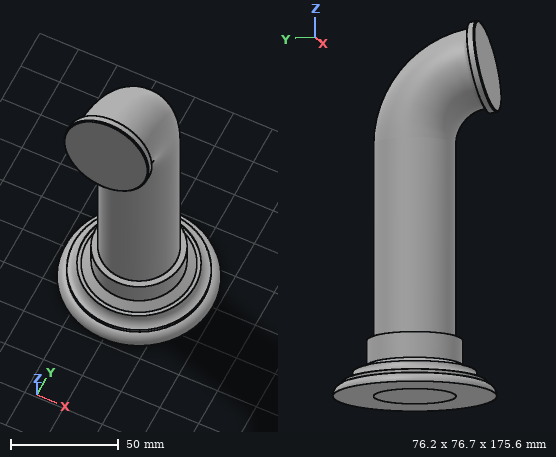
import cadquery as cq
import math

base_radius = 38.1
step_radius = 33.5
ledge_radius = 28.8
cone_radius = 26.9
collar_radius = 22.3
base_edge_height = 0.5
step_bottom = 5.0
step_top = 6.7
ledge_height = 11.4
collar_bottom = 14.2
collar_top = 26.3

tube_radius = 19.1
bend_start = 118.7
bend_radius = 35.0
bend_angle = 80
rim_radius = 21.8
flare_length = 2.5
rim_length = 6.1
rim_chamfer = 0.5


def arc_middle(center, start_angle, end_angle, radius_x, radius_z):
    """Point halfway along an axis-aligned quarter curve."""
    angle = math.radians((start_angle + end_angle) / 2)
    return (center[0] + radius_x * math.cos(angle), center[1] + radius_z * math.sin(angle))


def make_base():
    """Flange turned about Z: rounded foot, cove, cone and collar, bored for the tube."""
    foot_middle = arc_middle(
        (step_radius, base_edge_height), 0, 90, base_radius - step_radius, step_bottom - base_edge_height
    )
    cove_middle = arc_middle(
        (step_radius, ledge_height), 180, 270, step_radius - ledge_radius, ledge_height - step_top
    )
    profile = (
        cq.Workplane("XZ")
        .moveTo(tube_radius, 0)
        .lineTo(base_radius, 0)
        .lineTo(base_radius, base_edge_height)
        .threePointArc(foot_middle, (step_radius, step_bottom))
        .lineTo(step_radius, step_top)
        .threePointArc(cove_middle, (ledge_radius, ledge_height))
        .lineTo(cone_radius, ledge_height)
        .lineTo(collar_radius, collar_bottom)
        .lineTo(collar_radius, collar_top)
        .lineTo(tube_radius, collar_top)
        .close()
    )
    return profile.revolve(360, (0, 0, 0), (0, 1, 0))


def make_bent_tube():
    """Round bar rising through the base and bending toward -Y."""
    straight = cq.Workplane("XY").circle(tube_radius).extrude(bend_start)
    bend = (
        cq.Workplane("XY", origin=(0, 0, bend_start))
        .circle(tube_radius)
        .revolve(bend_angle, (0, -bend_radius, 0), (1, -bend_radius, 0))
    )
    return straight.union(bend)


def make_rim():
    """Flared, closed end of the spout, turned about the outlet axis."""
    angle = math.radians(bend_angle)
    outlet_center = (0, bend_radius * (math.cos(angle) - 1), bend_start + bend_radius * math.sin(angle))
    plane = cq.Plane(
        origin=outlet_center,
        xDir=(0, math.cos(angle), math.sin(angle)),
        normal=(1, 0, 0),
    )
    flare_middle = arc_middle((rim_radius, 0), 90, 180, rim_radius - tube_radius, flare_length)
    profile = (
        cq.Workplane(plane)
        .lineTo(tube_radius, 0)
        .threePointArc(flare_middle, (rim_radius, flare_length))
        .lineTo(rim_radius, rim_length - rim_chamfer)
        .lineTo(rim_radius - rim_chamfer, rim_length)
        .lineTo(0, rim_length)
        .close()
    )
    return profile.revolve(360, (0, 0, 0), (0, 1, 0))


base = make_base()
spout = make_bent_tube().union(make_rim())

result = cq.Compound.makeCompound([base.val(), spout.val()])